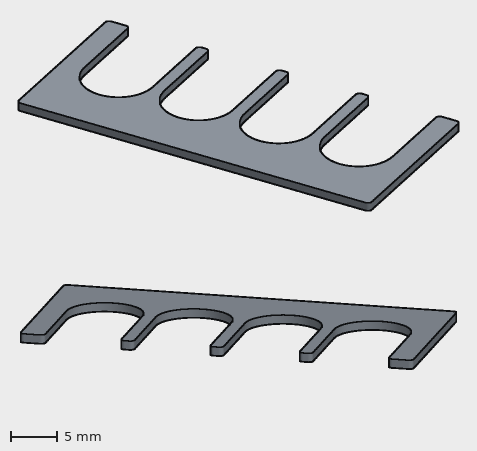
import cadquery as cq

length = 44.0
depth = 20.0
thickness = 1.0
corner_radius = 0.5

slot_count = 4
slot_pitch = 10.0
slot_width = 8.5
slot_floor = 5.8

slot_radius = slot_width / 2
arc_center_y = -depth / 2 + slot_floor + slot_radius
straight_length = depth / 2 - arc_center_y
slot_centers = [(i - (slot_count - 1) / 2) * slot_pitch for i in range(slot_count)]


def make_slot(center_x):
    """Cutter with a half-round bottom and straight sides up to the +Y edge."""
    round_end = cq.Workplane("XY").center(center_x, arc_center_y).circle(slot_radius).extrude(thickness)
    straight = (
        cq.Workplane("XY")
        .center(center_x, arc_center_y + straight_length / 2)
        .rect(slot_width, straight_length)
        .extrude(thickness)
    )
    return round_end.union(straight)


plate = cq.Workplane("XY").rect(length, depth).extrude(thickness)
for center_x in slot_centers:
    plate = plate.cut(make_slot(center_x))

plate = plate.faces(">Y").edges("|Z").fillet(corner_radius)
result = plate.faces("<Y").edges("|Z").fillet(corner_radius)